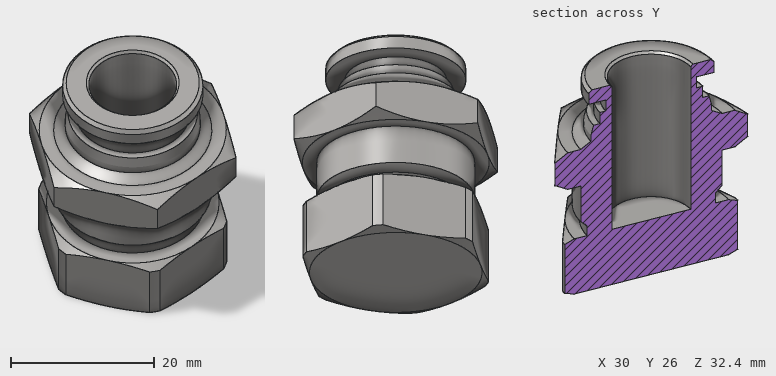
import cadquery as cq
import math

hex_body_top = 9.0
neck_top = hex_body_top + 1.5
thread_chamfer_top = neck_top + 1.0
nut_bottom = 17.2
nut_height = 6.0
nut_top = nut_bottom + nut_height
shoulder_top = nut_top + 0.9
land_top = shoulder_top + 1.0
cap_top = land_top + 1.5
sleeve_top = 28.4
collar_bottom = 30.1
overall_height = 32.4

neck_diameter = 20.0
thread_diameter = 22.0
land_diameter = 18.8
cap_top_diameter = 18.0
sleeve_diameter = 16.0
stem_diameter = 14.2
collar_diameter = 19.5
collar_chamfer = 0.5

hex_sides = 6
hex_half_angle = math.pi / hex_sides
hex_body_flats = 24.0
hex_body_corner_diameter = 26.9
hex_body_bevel_angle = 20.0
nut_flats = 26.0
nut_corner_diameter = nut_flats / math.cos(hex_half_angle)
nut_bevel_angle = 30.0

bore_diameter = 12.2
bore_chamfer = 0.35
bore_floor = hex_body_top


def revolved(profile):
    """Solid of revolution about Z from a list of (radius, height) points."""
    return cq.Workplane("XZ").polyline(profile).close().revolve(360, (0, 0), (0, 1))


def beveled_hex(bottom, height, flats, corner_diameter, bevel_angle):
    """Hexagon with corners on the X axis, its corners turned round and beveled at both ends."""
    circumscribed_diameter = flats / math.cos(hex_half_angle)
    base = cq.Workplane("XY").workplane(offset=bottom)
    prism = base.polygon(hex_sides, circumscribed_diameter).extrude(height)
    face_radius = flats / 2
    corner_radius = corner_diameter / 2
    bevel_drop = (corner_radius - face_radius) * math.tan(math.radians(bevel_angle))
    top = bottom + height
    envelope = revolved([
        (0, bottom),
        (face_radius, bottom),
        (corner_radius, bottom + bevel_drop),
        (corner_radius, top - bevel_drop),
        (face_radius, top),
        (0, top),
    ])
    return prism.intersect(envelope)


def turned_core():
    """Round body: neck, threaded barrel, shoulder, cap, release sleeve and collar."""
    collar_radius = collar_diameter / 2
    profile = [
        (0, 0),
        (neck_diameter / 2, 0),
        (neck_diameter / 2, neck_top),
        (thread_diameter / 2, thread_chamfer_top),
        (thread_diameter / 2, nut_top),
        (land_diameter / 2, shoulder_top),
        (land_diameter / 2, land_top),
        (cap_top_diameter / 2, cap_top),
        (sleeve_diameter / 2, cap_top),
        (sleeve_diameter / 2, sleeve_top),
        (stem_diameter / 2, sleeve_top),
        (stem_diameter / 2, collar_bottom),
        (collar_radius, collar_bottom),
        (collar_radius, overall_height - collar_chamfer),
        (collar_radius - collar_chamfer, overall_height),
        (0, overall_height),
    ]
    return revolved(profile)


def tube_socket():
    """Blind bore from the top, with a chamfered mouth."""
    bore_radius = bore_diameter / 2
    profile = [
        (0, bore_floor),
        (bore_radius, bore_floor),
        (bore_radius, overall_height - bore_chamfer),
        (bore_radius + bore_chamfer, overall_height),
        (0, overall_height),
    ]
    return revolved(profile)


hex_body = beveled_hex(0, hex_body_top, hex_body_flats, hex_body_corner_diameter, hex_body_bevel_angle)
nut = beveled_hex(nut_bottom, nut_height, nut_flats, nut_corner_diameter, nut_bevel_angle)

result = turned_core().union(hex_body).union(nut).cut(tube_socket())